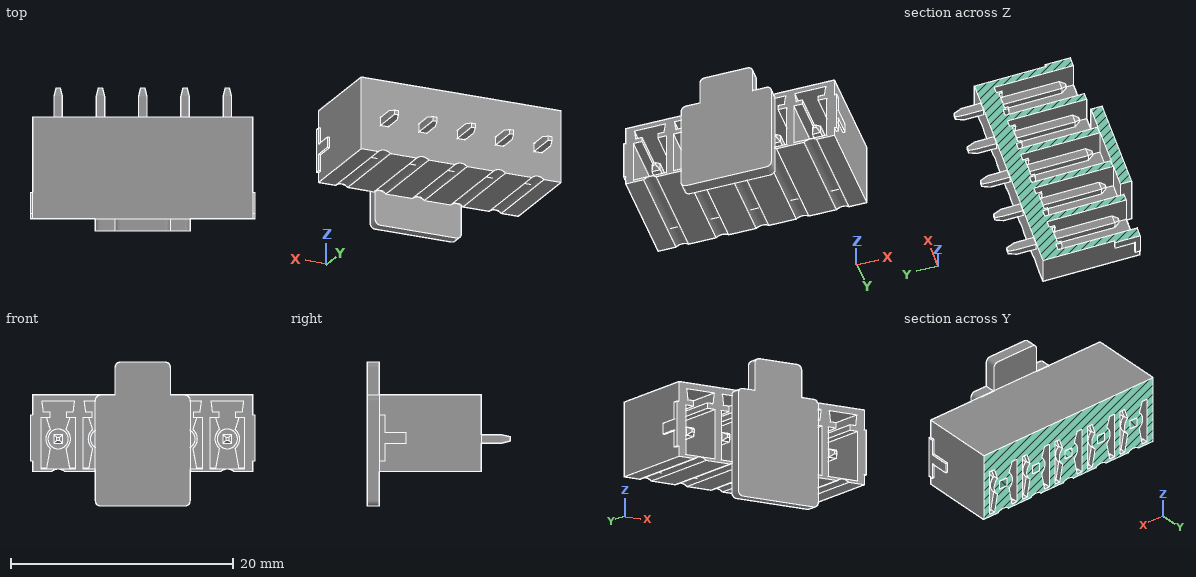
import cadquery as cq
import math

PIN_COUNT = 5
PITCH = 3.81

HOUSING_DEPTH = 9.2
HOUSING_TOP = 4.0
HOUSING_BOTTOM = -2.95
END_MARGIN = 2.3
HOUSING_LENGTH = (PIN_COUNT - 1) * PITCH + 2 * END_MARGIN

RIB_HEIGHT = 0.2
CROSSBAR_DEPTH = 0.5
CROSSBAR_WIDTH = 4.16
STEM_REACH = 2.4
STEM_WIDTH = 1.0
RIB_AXIS_Z = 0.08

CHAMBER_DEPTH = 7.0
CHAMBER_WIDTH = 3.12
CHAMBER_FLOOR = -2.69
CHAMBER_CEILING = 1.91
SLOT_WIDTH = 1.5
KEYWAY_BOTTOM = 2.42
KEYWAY_TOP = 3.43
KEYWAY_BOTTOM_WIDTH = 2.68
KEYWAY_TOP_WIDTH = 2.94

POCKET_DEPTH = 0.5
POCKET_FLOOR = CHAMBER_FLOOR + 0.05
PAD_END_WIDTH = 2.1
PAD_NECK_WIDTH = 1.42
PAD_DISK_DIAMETER = 2.2
PIN_RECESS_DIAMETER = 1.8
PIN_RECESS_DEPTH = 0.3

GROOVE_DIAMETER = 1.8
GROOVE_DEPTH = 0.23

PIN_WIDTH = 0.78
PIN_SETBACK = 1.25
PIN_PROTRUSION = 2.6
FRONT_TIP_WIDTH = 0.27
FRONT_TAPER = 0.5
REAR_TIP_WIDTH = 0.4
REAR_TAPER = 0.77

PLATE_THICKNESS = 1.1
PLATE_WIDTH = 8.56
PLATE_HEIGHT = 10.0
PLATE_BOTTOM = -6.06
TAB_WIDTH = 5.0
TAB_HEIGHT = 3.0
CORNER_RADIUS = 0.5


def plane_at(y):
    """Upright sketch plane at depth y: local x is X, local y is Z, normal is -Y."""
    return cq.Workplane(cq.Plane(origin=(0, y, 0), xDir=(1, 0, 0), normal=(0, -1, 0)))


def block(width, y_front, y_back, z_bottom, z_top):
    """Box given by its width, its front and back depth and its bottom and top height."""
    box = cq.Workplane("XY").box(width, y_back - y_front, z_top - z_bottom, centered=False)
    return box.translate((-width / 2, y_front, z_bottom))


def cylinder(diameter, y_front, y_back, z_center=0.0):
    """Cylinder along Y."""
    return plane_at(y_front).center(0, z_center).circle(diameter / 2).extrude(y_front - y_back)


def chamber():
    """Space removed for one contact, open to the front."""
    lower = block(CHAMBER_WIDTH, 0, CHAMBER_DEPTH, CHAMBER_FLOOR, CHAMBER_CEILING)
    slot = block(SLOT_WIDTH, 0, CHAMBER_DEPTH, CHAMBER_CEILING, KEYWAY_BOTTOM)
    keyway = (
        plane_at(0)
        .moveTo(-KEYWAY_BOTTOM_WIDTH / 2, KEYWAY_BOTTOM)
        .lineTo(KEYWAY_BOTTOM_WIDTH / 2, KEYWAY_BOTTOM)
        .lineTo(KEYWAY_TOP_WIDTH / 2, KEYWAY_TOP)
        .lineTo(-KEYWAY_TOP_WIDTH / 2, KEYWAY_TOP)
        .close()
        .extrude(-CHAMBER_DEPTH)
    )
    return lower.union(slot).union(keyway)


def side_pockets():
    """Pockets in the chamber's back wall, either side of the waisted pad."""
    pocket_back = CHAMBER_DEPTH + POCKET_DEPTH
    neck_x = PAD_NECK_WIDTH / 2
    neck_z = math.sqrt((PAD_DISK_DIAMETER / 2) ** 2 - neck_x**2)
    pad = (
        plane_at(CHAMBER_DEPTH)
        .moveTo(-PAD_END_WIDTH / 2, CHAMBER_FLOOR)
        .lineTo(PAD_END_WIDTH / 2, CHAMBER_FLOOR)
        .lineTo(neck_x, -neck_z)
        .lineTo(neck_x, neck_z)
        .lineTo(PAD_END_WIDTH / 2, CHAMBER_CEILING)
        .lineTo(-PAD_END_WIDTH / 2, CHAMBER_CEILING)
        .lineTo(-neck_x, neck_z)
        .lineTo(-neck_x, -neck_z)
        .close()
        .extrude(-POCKET_DEPTH)
    )
    pad = pad.union(cylinder(PAD_DISK_DIAMETER, CHAMBER_DEPTH, pocket_back))
    return block(CHAMBER_WIDTH, CHAMBER_DEPTH, pocket_back, POCKET_FLOOR, CHAMBER_CEILING).cut(pad)


def pin_recess():
    """Round recess around the pin in the waisted pad."""
    return cylinder(PIN_RECESS_DIAMETER, CHAMBER_DEPTH, CHAMBER_DEPTH + PIN_RECESS_DEPTH)


def groove():
    """Shallow round groove along the underside."""
    axis_z = HOUSING_BOTTOM + GROOVE_DEPTH - GROOVE_DIAMETER / 2
    return cylinder(GROOVE_DIAMETER, 0, HOUSING_DEPTH, axis_z)


def pin_hole():
    """Square hole through the back wall that holds the pin."""
    return block(PIN_WIDTH, CHAMBER_DEPTH, HOUSING_DEPTH, -PIN_WIDTH / 2, PIN_WIDTH / 2)


def end_ribs():
    """T-shaped ribs; each bar spans the housing and stands proud of both end faces."""
    span = HOUSING_LENGTH + 2 * RIB_HEIGHT
    crossbar = block(
        span, 0, CROSSBAR_DEPTH, RIB_AXIS_Z - CROSSBAR_WIDTH / 2, RIB_AXIS_Z + CROSSBAR_WIDTH / 2
    )
    stem = block(span, 0, STEM_REACH, RIB_AXIS_Z - STEM_WIDTH / 2, RIB_AXIS_Z + STEM_WIDTH / 2)
    return crossbar.union(stem)


def make_housing(pin_positions):
    body = block(HOUSING_LENGTH, 0, HOUSING_DEPTH, HOUSING_BOTTOM, HOUSING_TOP).union(end_ribs())
    for x in pin_positions:
        for cutter in (chamber(), side_pockets(), pin_recess(), groove(), pin_hole()):
            body = body.cut(cutter.translate((x, 0, 0)))
    return body


def pin_point(y_base, y_tip, tip_width):
    """Pyramid frustum from the full pin section to the tip."""
    point = plane_at(y_base).rect(PIN_WIDTH, PIN_WIDTH)
    return point.workplane(offset=y_base - y_tip).rect(tip_width, tip_width).loft(combine=True)


def make_pin(x):
    front_tip = PIN_SETBACK
    rear_tip = HOUSING_DEPTH + PIN_PROTRUSION
    shank_front = front_tip + FRONT_TAPER
    shank_back = rear_tip - REAR_TAPER
    shank = block(PIN_WIDTH, shank_front, shank_back, -PIN_WIDTH / 2, PIN_WIDTH / 2)
    front_point = pin_point(shank_front, front_tip, FRONT_TIP_WIDTH)
    rear_point = pin_point(shank_back, rear_tip, REAR_TIP_WIDTH)
    return shank.union(front_point).union(rear_point).translate((x, 0, 0))


def make_pickup_plate():
    shoulder = PLATE_BOTTOM + PLATE_HEIGHT
    plate = block(PLATE_WIDTH, -PLATE_THICKNESS, 0, PLATE_BOTTOM, shoulder)
    plate = plate.edges("|Y").fillet(CORNER_RADIUS)
    tab = block(TAB_WIDTH, -PLATE_THICKNESS, 0, shoulder, shoulder + TAB_HEIGHT)
    tab = tab.edges("|Y and >Z").fillet(CORNER_RADIUS)
    return plate.union(tab)


pin_positions = [(i - (PIN_COUNT - 1) / 2) * PITCH for i in range(PIN_COUNT)]

housing = make_housing(pin_positions)
pins = [make_pin(x) for x in pin_positions]
pickup_plate = make_pickup_plate()

bodies = [housing, *pins, pickup_plate]
result = cq.Compound.makeCompound([body.solids().val() for body in bodies])